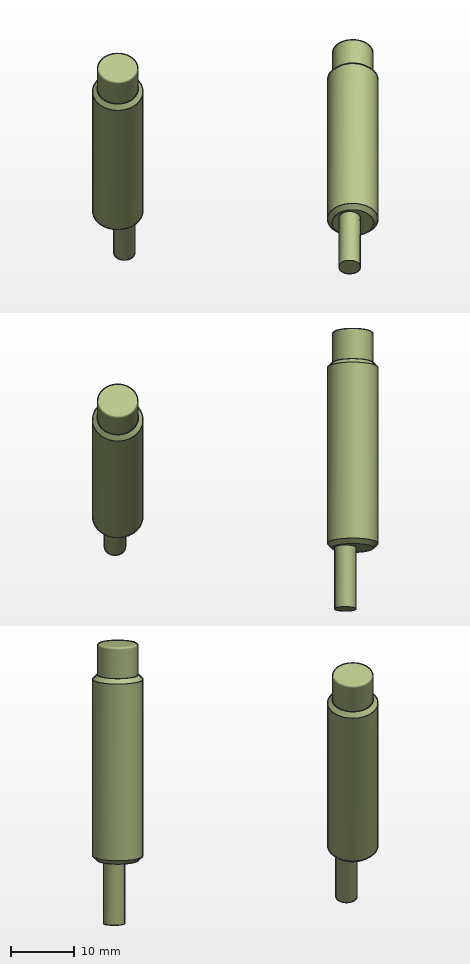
import cadquery as cq

total_length = 45.0
cable_length = 10.0
cap_length = 5.0
body_length = total_length - cable_length - cap_length

body_diameter = 8.0
body_chamfer = 0.7

cap_diameter = 6.45
cap_edge_radius = 0.3

cable_diameter = 3.4
cable_offset = 1.25


def make_body():
    body = cq.Workplane("XY").circle(body_diameter / 2).extrude(body_length)
    return body.faces("<Z or >Z").chamfer(body_chamfer)


def make_cap():
    cap = cq.Workplane("XY").workplane(offset=body_length)
    cap = cap.circle(cap_diameter / 2).extrude(cap_length)
    return cap.faces(">Z").edges().fillet(cap_edge_radius)


def make_cable():
    cable = cq.Workplane("XY").center(0, cable_offset)
    return cable.circle(cable_diameter / 2).extrude(-cable_length)


result = make_body().union(make_cap()).union(make_cable())